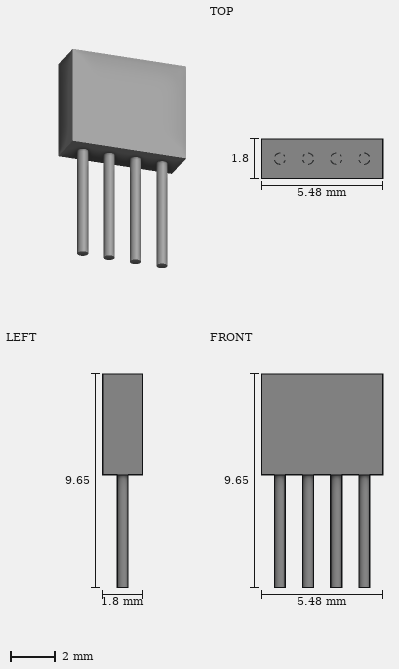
import cadquery as cq

total_height = 9.65
body_width = 5.48
body_depth = 1.8
body_height = 4.56

pin_count = 4
pin_diameter = 0.5
pin_pitch = 1.27
pin_length = total_height - body_height


def make_body():
    """Rectangular block with its underside at Z = 0."""
    return cq.Workplane("XY").box(body_width, body_depth, body_height, centered=(True, True, False))


def make_pin(x):
    """Round pin hanging from the underside of the body."""
    return cq.Workplane("XY").center(x, 0).circle(pin_diameter / 2).extrude(-pin_length)


body = make_body()

first_pin_x = -pin_pitch * (pin_count - 1) / 2
pins = [make_pin(first_pin_x + i * pin_pitch) for i in range(pin_count)]

result = cq.Compound.makeCompound([body.val(), *[pin.val() for pin in pins]])